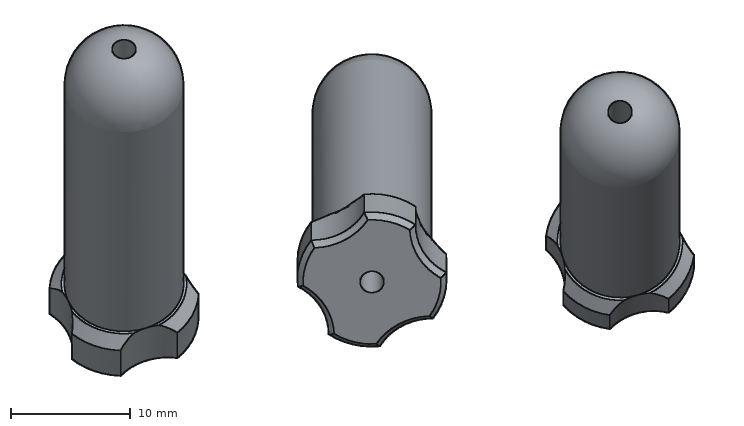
import cadquery as cq
import math

total_height = 37.4
body_diameter = 10.0
hole_diameter = 2.0
head_diameter = 12.5
head_height = 5.0
head_top_chamfer = 1.0
head_bottom_chamfer = 0.5
scallop_count = 4

body_radius = body_diameter / 2
hole_radius = hole_diameter / 2
rim_above_dome_center = math.sqrt(body_radius**2 - hole_radius**2)
dome_center_height = total_height - rim_above_dome_center
scallop_radius = body_radius
scallop_center_distance = body_radius + scallop_radius


def make_head():
    """Grip head: a disc with round scallops, chamfered at both ends."""
    disc = cq.Workplane("XY").circle(head_diameter / 2).extrude(head_height)
    disc = disc.faces(">Z").chamfer(head_top_chamfer)
    scallops = (
        cq.Workplane("XY")
        .polarArray(scallop_center_distance, 0, 360, scallop_count)
        .circle(scallop_radius)
        .extrude(head_height)
    )
    return disc.cut(scallops).faces("<Z").chamfer(head_bottom_chamfer)


def make_body():
    """Shank standing on the head and closed by a hemispherical dome, turned about Z."""
    arc_middle = body_radius * math.sqrt(0.5)
    profile = (
        cq.Workplane("XZ")
        .moveTo(0, head_height)
        .lineTo(body_radius, head_height)
        .lineTo(body_radius, dome_center_height)
        .threePointArc(
            (arc_middle, dome_center_height + arc_middle),
            (0, dome_center_height + body_radius),
        )
        .close()
    )
    return profile.revolve(360, (0, 0), (0, 1))


def make_hole():
    """Straight hole along the full axis, reaching past the tip of the dome."""
    return cq.Workplane("XY").circle(hole_radius).extrude(dome_center_height + 2 * body_radius)


result = make_head().union(make_body()).cut(make_hole())